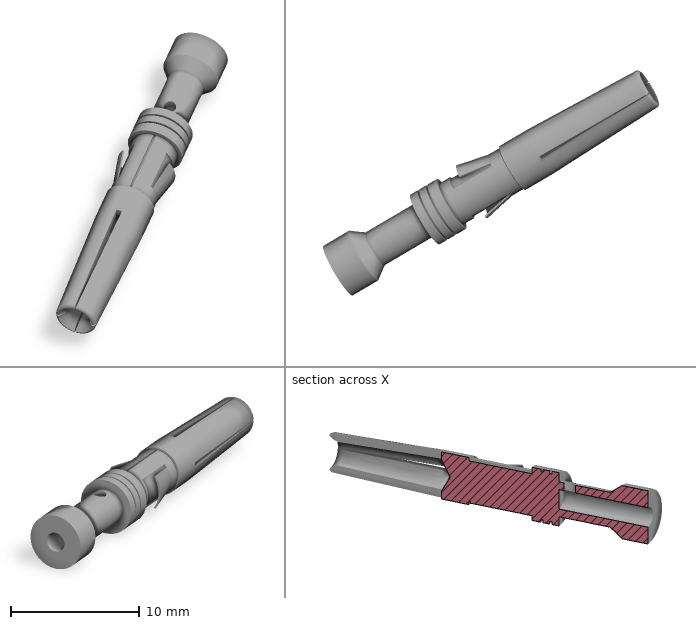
import cadquery as cq
import math


length = 28.5
finger_root = 10.0
band_rear = 12.5
sleeve_front = 12.6
collar_front = 18.1
collar_rear = 20.55
funnel_front = 25.1
funnel_rear = 26.15

head_radius = 2.25
neck_radius = 1.48
groove_radius = 2.02
core_radius = 1.7
band_radius = 2.0
finger_tip_radius = 1.65
tip_rounding = 0.25

groove_width = 0.17
groove_fronts = (18.92, 19.7)

barrel_bore_radius = 0.8
inspection_hole_diameter = 1.0
inspection_hole_y = 21.5

mouth_radius = finger_tip_radius - tip_rounding
mouth_inner_radius = 1.25
mouth_depth = 0.17
throat_radius = 1.0
throat_depth = 0.85
socket_root_radius = 1.3
drill_point_angle = 118.0

slot_tip_width = 0.1
slot_root_width = 0.45
slot_overrun = 0.28

sleeve_thickness = 0.15
sleeve_radius = core_radius + sleeve_thickness
sleeve_split_width = 0.2
window_front = 13.62
window_rear = 17.15
window_width = 2.62

tab_tip_y = 16.22
tab_tip_radius = 2.4
tab_half_angle = 35.5


def revolve_about_y(points, angle=360.0):
    """Revolve an outline of (radius, y) points about the Y axis."""
    return cq.Workplane("XY").polyline(points).close().revolve(angle, (0, 0), (0, 1))


def ring(inner_radius, outer_radius, y_front, y_rear):
    return revolve_about_y([
        (inner_radius, y_front),
        (outer_radius, y_front),
        (outer_radius, y_rear),
        (inner_radius, y_rear),
    ])


def turned_body():
    body = (
        cq.Workplane("XY")
        .lineTo(mouth_radius, 0)
        .radiusArc((finger_tip_radius, tip_rounding), -tip_rounding)
        .lineTo(band_radius, finger_root)
        .lineTo(band_radius, band_rear)
        .lineTo(core_radius, band_rear)
        .lineTo(core_radius, collar_front)
        .lineTo(head_radius, collar_front)
        .lineTo(head_radius, collar_rear)
        .lineTo(neck_radius, collar_rear)
        .lineTo(neck_radius, funnel_front)
        .lineTo(head_radius, funnel_rear)
        .lineTo(head_radius, length)
        .lineTo(0, length)
        .close()
        .revolve(360, (0, 0), (0, 1))
    )
    for groove_front in groove_fronts:
        body = body.cut(ring(groove_radius, head_radius, groove_front, groove_front + groove_width))
    return body


def barrel_bore():
    """Crimp bore from the rear end, met by the round inspection hole on top."""
    bore = revolve_about_y([
        (0, collar_rear),
        (barrel_bore_radius, collar_rear),
        (barrel_bore_radius, length),
        (0, length),
    ])
    hole = (
        cq.Workplane("XY")
        .center(0, inspection_hole_y)
        .circle(inspection_hole_diameter / 2)
        .extrude(head_radius)
    )
    return bore.union(hole)


def socket_bore():
    """Chamfered mouth, trumpet throat, bore widening inwards and a conical drill point."""
    point_length = socket_root_radius / math.tan(math.radians(drill_point_angle / 2))
    radius_drop = mouth_inner_radius - throat_radius
    throat_length = throat_depth - mouth_depth
    throat_arc_radius = (radius_drop ** 2 + throat_length ** 2) / (2 * radius_drop)
    return (
        cq.Workplane("XY")
        .lineTo(mouth_radius, 0)
        .lineTo(mouth_inner_radius, mouth_depth)
        .radiusArc((throat_radius, throat_depth), throat_arc_radius)
        .lineTo(socket_root_radius, finger_root)
        .lineTo(0, finger_root + point_length)
        .close()
        .revolve(360, (0, 0), (0, 1))
    )


def finger_slot(turn):
    """Wedge slot through both walls, narrowing towards the tip."""
    taper = (slot_root_width - slot_tip_width) / (2 * finger_root)
    outer_half_width = slot_tip_width / 2 - taper * slot_overrun
    root_half_width = slot_root_width / 2
    return (
        cq.Workplane("XY")
        .polyline([
            (-outer_half_width, -slot_overrun),
            (outer_half_width, -slot_overrun),
            (root_half_width, finger_root),
            (-root_half_width, finger_root),
        ])
        .close()
        .extrude(head_radius, both=True)
        .rotate((0, 0, 0), (0, 1, 0), turn)
    )


def split_sleeve():
    """Thin sleeve, split along the top, with a window on each side."""
    sleeve = ring(core_radius, sleeve_radius, sleeve_front, collar_front)
    sleeve_length = collar_front - sleeve_front
    split = cq.Workplane("XY").box(
        sleeve_split_width, sleeve_length, head_radius, centered=(True, False, False)
    ).translate((0, sleeve_front, 0))
    windows = cq.Workplane("XY").box(
        2 * head_radius, window_rear - window_front, window_width, centered=(True, False, True)
    ).translate((0, window_front, 0))
    return sleeve.cut(split).cut(windows)


def tab(turn):
    """Curved tab flaring outwards from the front edge of a window."""
    sector = revolve_about_y([
        (core_radius, sleeve_front),
        (sleeve_radius, sleeve_front),
        (sleeve_radius, window_front),
        (tab_tip_radius, tab_tip_y),
        (tab_tip_radius - sleeve_thickness, tab_tip_y),
        (core_radius, window_front),
    ], 2 * tab_half_angle)
    return sector.rotate((0, 0, 0), (0, 1, 0), turn - tab_half_angle)


result = turned_body().cut(barrel_bore()).cut(socket_bore())
for slot_turn in (0, 90):
    result = result.cut(finger_slot(slot_turn))
result = result.union(split_sleeve())
for tab_turn in (0, 180):
    result = result.union(tab(tab_turn))